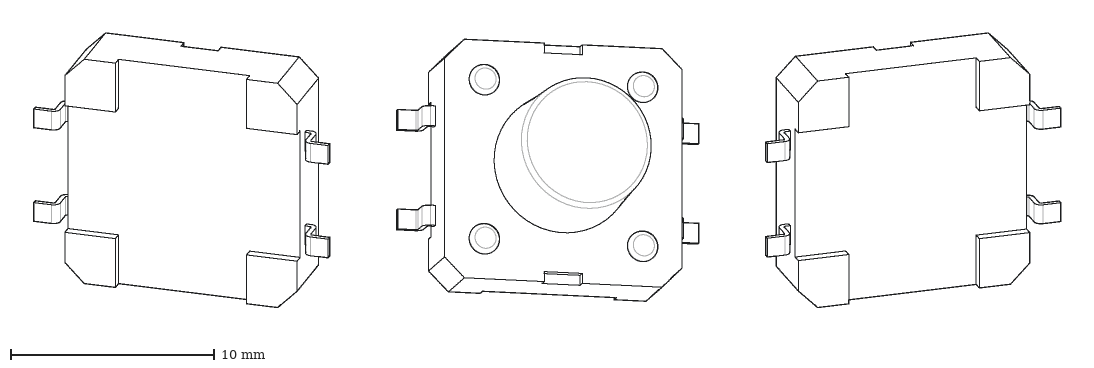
import cadquery as cq
import math


SPAN_X = 15.2

HOUSING_WIDTH = 12.0
HOUSING_HEIGHT = 3.5
CORNER_CHAMFER = 1.0
FOOT_SIZE = 2.61
FOOT_HEIGHT = 0.5

RIVET_RADIUS = 0.76
RIVET_HEIGHT = 0.3
RIVET_FILLET = 0.23
RIVET_PITCH = 8.0

NOTCH_WIDTH = 1.92
NOTCH_HEIGHT = 0.47
NOTCH_DEPTH = 0.5

PLUNGER_RADIUS = 3.5
PLUNGER_HEIGHT = 5.2
PLUNGER_DRAFT = 2.5
PLUNGER_FILLET = 0.25

TERMINAL_WIDTH = 1.0
TERMINAL_THICKNESS = 0.26
TERMINAL_RISE = 1.5
TERMINAL_PITCH = 5.0
SHANK_OUTER_X = 6.6
BEND_INNER_RADIUS = 0.09

HALF_WIDTH = HOUSING_WIDTH / 2
PLUNGER_TIP_RADIUS = PLUNGER_RADIUS - PLUNGER_HEIGHT * math.tan(math.radians(PLUNGER_DRAFT))


def make_block():
    """Square block with its four upright corners chamfered."""
    block = cq.Workplane("XY").box(HOUSING_WIDTH, HOUSING_HEIGHT, HOUSING_WIDTH)
    return block.edges("|Y").chamfer(CORNER_CHAMFER).translate((0, HOUSING_HEIGHT / 2, 0))


def make_foot_clearance():
    """Cross-shaped volume that leaves a foot standing at each corner."""
    channel = HOUSING_WIDTH - 2 * FOOT_SIZE
    along_x = cq.Workplane("XY").box(HOUSING_WIDTH, FOOT_HEIGHT, channel)
    along_z = cq.Workplane("XY").box(channel, FOOT_HEIGHT, HOUSING_WIDTH)
    return along_x.union(along_z).translate((0, FOOT_HEIGHT / 2, 0))


def make_notch(side):
    """Volume of the edge notch on the +Z (side = 1) or -Z (side = -1) wall."""
    notch = cq.Workplane("XY").box(NOTCH_WIDTH, NOTCH_HEIGHT, NOTCH_DEPTH)
    center_y = HOUSING_HEIGHT - NOTCH_HEIGHT / 2
    return notch.translate((0, center_y, side * (HALF_WIDTH - NOTCH_DEPTH / 2)))


def make_rivet(x, z):
    """Low round head with a rounded rim."""
    head = cq.Solid.makeCylinder(
        RIVET_RADIUS,
        RIVET_HEIGHT,
        cq.Vector(x, HOUSING_HEIGHT, z),
        cq.Vector(0, 1, 0),
    )
    return cq.Workplane(obj=head).faces(">Y").edges().fillet(RIVET_FILLET)


def make_plunger():
    """Tapered round button with a rounded rim, standing on the housing."""
    cone = cq.Solid.makeCone(
        PLUNGER_RADIUS,
        PLUNGER_TIP_RADIUS,
        PLUNGER_HEIGHT,
        cq.Vector(0, HOUSING_HEIGHT, 0),
        cq.Vector(0, 1, 0),
    )
    return cq.Workplane(obj=cone).faces(">Y").edges().fillet(PLUNGER_FILLET)


def make_housing():
    """Block with corner feet, edge notches and four rivet heads around the plunger."""
    housing = make_block().cut(make_foot_clearance())
    for side in (-1, 1):
        housing = housing.cut(make_notch(side))
    for x_side in (-1, 1):
        for z_side in (-1, 1):
            housing = housing.union(make_rivet(x_side * RIVET_PITCH / 2, z_side * RIVET_PITCH / 2))
    return housing


def make_terminal(side, center_z):
    """Gull-wing lead on the +X (side = 1) or -X (side = -1) wall."""
    shank_inner_x = SHANK_OUTER_X - TERMINAL_THICKNESS
    upper_run_bottom = TERMINAL_RISE - TERMINAL_THICKNESS
    lead = (
        cq.Workplane("XY")
        .moveTo(HALF_WIDTH, TERMINAL_RISE)
        .lineTo(SHANK_OUTER_X, TERMINAL_RISE)
        .lineTo(SHANK_OUTER_X, TERMINAL_THICKNESS)
        .lineTo(SPAN_X / 2, TERMINAL_THICKNESS)
        .lineTo(SPAN_X / 2, 0)
        .lineTo(shank_inner_x, 0)
        .lineTo(shank_inner_x, upper_run_bottom)
        .lineTo(HALF_WIDTH, upper_run_bottom)
        .close()
        .extrude(TERMINAL_WIDTH / 2, both=True)
    )
    outer_radius = BEND_INNER_RADIUS + TERMINAL_THICKNESS
    for outer_corner, inner_corner in (
        ((SHANK_OUTER_X, TERMINAL_RISE), (shank_inner_x, upper_run_bottom)),
        ((shank_inner_x, 0), (SHANK_OUTER_X, TERMINAL_THICKNESS)),
    ):
        lead = lead.edges(cq.NearestToPointSelector((*outer_corner, 0))).fillet(outer_radius)
        lead = lead.edges(cq.NearestToPointSelector((*inner_corner, 0))).fillet(BEND_INNER_RADIUS)
    if side < 0:
        lead = lead.mirror("YZ")
    return lead.translate((0, 0, center_z))


housing = make_housing()
plunger = make_plunger()
terminals = [
    make_terminal(side, row * TERMINAL_PITCH / 2)
    for side in (-1, 1)
    for row in (-1, 1)
]

result = cq.Compound.makeCompound(
    [housing.val(), plunger.val(), *[terminal.val() for terminal in terminals]]
)